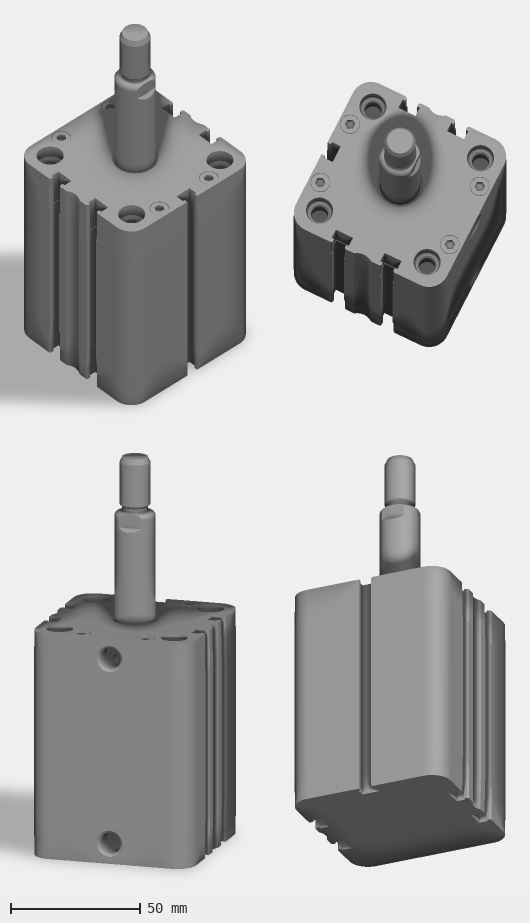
import cadquery as cq
import math

side = 65.5
half_side = side / 2
corner_radius = 7.85
body_height = 90.0
rod_projection = 65.0
cap_height = 14.5
draft_angle = 0.5
cap_draft = cap_height * math.tan(math.radians(draft_angle))
barrel_height = body_height - 2 * cap_height
upper_seam = body_height - cap_height
rod_top = body_height + rod_projection

slot_offset = 10.5
slot_mouth = 5.2
slot_lip = 1.85
slot_width = 6.6
slot_depth = 5.1
cap_slot_clearance = 0.4
slot_edge_chamfer = 0.5

sensor_mouth = 5.2
sensor_width = 7.0
sensor_lip = 1.6
sensor_depth = 5.4

groove_radius = 6.0
groove_depth = 1.2

port_to_end = 8.0
port_diameter = 8.57
port_mouth_diameter = 10.5
port_chamfer = (port_mouth_diameter - port_diameter) / 2
port_depth = 10.0

port_floor_radius = 20.0
port_floor_sag = 1.0
cushion_diameter = 3.5
cushion_drop = 2.2
cushion_depth = 4.0

mount_offset = 23.25
mount_bore_diameter = 10.5
mount_bore_depth = 5.0
mount_lead_diameter = 8.0
mount_hole_diameter = 6.65
mount_lead_depth = (mount_lead_diameter - mount_hole_diameter) / 2
mount_hole_depth = 12.0

screw_x = 28.0
screw_y = 13.0
screw_seat_diameter = 7.7
screw_head_diameter = 7.5
screw_head_chamfer = 0.25
screw_gap_depth = 0.5
socket_flats = 3.5
socket_depth = 2.0

rod_diameter = 16.0
thread_diameter = 12.0
thread_lead_diameter = 10.0
thread_lead_length = 2.2
relief_diameter = 10.0
relief_length = 1.75
relief_chamfer = (thread_diameter - relief_diameter) / 2
relief_foot = 0.2
shoulder_z = rod_top - 21.7
shoulder_fillet = 2.0
flats_width = 13.0
flats_length = 5.5
flats_step = (rod_diameter - flats_width) / 2

wiper_rim_diameter = 18.0
wiper_diameter = 17.7
wiper_rim_chamfer = (wiper_rim_diameter - wiper_diameter) / 2
wiper_floor_diameter = 16.54
wiper_depth = 0.6


def corner_points(x, y):
    return [(sign_x * x, sign_y * y) for sign_x in (-1, 1) for sign_y in (-1, 1)]


def square_block(height, taper=0.0):
    outline = cq.Sketch().rect(side, side).vertices().fillet(corner_radius)
    return cq.Workplane().placeSketch(outline).extrude(height, taper=taper)


def tee_slot(mouth, width, lip, depth, height):
    """Tee slot prism that opens at Y = 0 and goes in toward +Y."""
    neck = cq.Workplane().rect(mouth, 2 * lip).extrude(height)
    undercut = cq.Workplane().center(0, (lip + depth) / 2).rect(width, depth - lip).extrude(height)
    return neck.union(undercut)


def face_slots(height, clearance=0.0, taper=0.0):
    """All the slots and grooves that run along Z in the side faces."""
    slot = tee_slot(slot_mouth, slot_width + 2 * clearance, slot_lip, slot_depth + clearance, height)
    groove = cq.Workplane().center(0, groove_depth - groove_radius).circle(groove_radius)
    front = groove.extrude(height, taper=-taper)
    for x in (-slot_offset, slot_offset):
        front = front.union(slot.translate((x, 0, 0)))
    front = front.translate((0, -half_side, 0))
    sensor = tee_slot(sensor_mouth, sensor_width, sensor_lip, sensor_depth, height)
    sensor = sensor.translate((0, -half_side, 0)).rotate((0, 0, 0), (0, 0, 1), 90)
    return front.union(front.mirror("XZ")).union(sensor)


def plain_cap():
    """Cap that grows upward from the seam at Z = 0, drafted, with bevelled tee slot edges."""
    cap = square_block(cap_height, draft_angle)
    cap = cap.cut(face_slots(cap_height, cap_slot_clearance, draft_angle))
    edge_y = half_side - cap_draft / 2
    mouth_edges = []
    for edge_x in (slot_offset - slot_mouth / 2, slot_offset + slot_mouth / 2):
        for x, y in corner_points(edge_x, edge_y):
            nearest = cq.NearestToPointSelector((x, y, cap_height / 2))
            mouth_edges += cap.edges(nearest).vals()
    return cap.newObject(mouth_edges).chamfer(slot_edge_chamfer)


def port(height):
    """Air port with a chamfered mouth that enters the -X face at the given height."""
    face = cq.Workplane("YZ", origin=(-half_side, 0, height))
    bore = face.circle(port_diameter / 2).extrude(port_depth)
    mouth = face.circle(port_mouth_diameter / 2).extrude(port_chamfer + cap_draft, taper=45)
    return bore.union(mouth)


def hollow_floor(height):
    """Port-wide pocket beyond the port's end, closed by a cylinder lying along Y."""
    axis_x = -half_side + port_depth + port_floor_sag - port_floor_radius
    floor = cq.Workplane("XZ", origin=(axis_x, 0, height)).circle(port_floor_radius)
    floor = floor.extrude(port_diameter / 2, both=True)
    reach = cq.Workplane("YZ", origin=(-half_side, 0, height)).circle(port_diameter / 2)
    return reach.extrude(2 * port_depth).intersect(floor)


def mount_holes():
    """Counterbored blind holes with a tapered lead-in, one in each corner of the upper cap."""
    points = corner_points(mount_offset, mount_offset)
    top = cq.Workplane(origin=(0, 0, body_height)).pushPoints(points)
    shelf = cq.Workplane(origin=(0, 0, body_height - mount_bore_depth)).pushPoints(points)
    bores = top.circle(mount_bore_diameter / 2).extrude(-mount_bore_depth)
    holes = top.circle(mount_hole_diameter / 2).extrude(-mount_hole_depth)
    leads = shelf.circle(mount_lead_diameter / 2).extrude(-mount_lead_depth, taper=45)
    return bores.union(holes).union(leads)


def screw_recess():
    """Gap around one chamfered screw head plus its hexagon socket, with the cap's top at Z = 0."""
    floor = cq.Workplane(origin=(0, 0, -screw_gap_depth))
    head = floor.circle(screw_head_diameter / 2).extrude(screw_gap_depth)
    head = head.faces(">Z").chamfer(screw_head_chamfer)
    gap = floor.circle(screw_seat_diameter / 2).extrude(screw_gap_depth).cut(head)
    hexagon = cq.Sketch().regularPolygon(socket_flats / math.sqrt(3), 6)
    socket = cq.Workplane().placeSketch(hexagon).extrude(-socket_depth)
    return gap.union(socket)


def rod_passage():
    """Rod bore through the upper cap with its conical recess and bevelled rim."""
    profile = [
        (0, upper_seam),
        (rod_diameter / 2, upper_seam),
        (rod_diameter / 2, body_height - wiper_depth),
        (wiper_floor_diameter / 2, body_height - wiper_depth),
        (wiper_diameter / 2, body_height - wiper_rim_chamfer),
        (wiper_rim_diameter / 2, body_height),
        (0, body_height),
    ]
    return cq.Workplane("XZ").polyline(profile).close().revolve()


def make_barrel():
    barrel = square_block(barrel_height).cut(face_slots(barrel_height))
    return barrel.translate((0, 0, cap_height))


def make_lower_cap():
    cap = plain_cap().mirror("XY").translate((0, 0, cap_height))
    return cap.cut(port(port_to_end)).cut(hollow_floor(port_to_end))


def make_upper_cap():
    port_z = body_height - port_to_end
    port_end = cq.Workplane("YZ", origin=(-half_side + port_depth, 0, port_z - cushion_drop))
    cushion = port_end.circle(cushion_diameter / 2).extrude(cushion_depth)
    cap = plain_cap().translate((0, 0, upper_seam))
    cap = cap.cut(port(port_z)).cut(cushion).cut(mount_holes()).cut(rod_passage())
    for x, y in corner_points(screw_x, screw_y):
        cap = cap.cut(screw_recess().translate((x, y, body_height)))
    return cap


def make_rod():
    """Rod seated on the barrel, with a rounded shoulder, thread relief, thread and two wrench flats."""
    rod_radius = rod_diameter / 2
    thread_radius = thread_diameter / 2
    relief_radius = relief_diameter / 2
    relief_top = shoulder_z + relief_length
    rod = (
        cq.Workplane("XZ")
        .moveTo(0, upper_seam)
        .lineTo(rod_radius, upper_seam)
        .lineTo(rod_radius, shoulder_z - shoulder_fillet)
        .radiusArc((rod_radius - shoulder_fillet, shoulder_z), -shoulder_fillet)
        .lineTo(relief_radius + relief_foot, shoulder_z)
        .lineTo(relief_radius, shoulder_z + relief_foot)
        .lineTo(relief_radius, relief_top)
        .lineTo(thread_radius, relief_top + relief_chamfer)
        .lineTo(thread_radius, rod_top - thread_lead_length)
        .lineTo(thread_lead_diameter / 2, rod_top)
        .lineTo(0, rod_top)
        .close()
        .revolve()
    )
    flat = (
        cq.Workplane("XZ")
        .moveTo(flats_width / 2, shoulder_z)
        .lineTo(flats_width / 2, shoulder_z - flats_length)
        .lineTo(rod_radius, shoulder_z - flats_length - flats_step)
        .lineTo(rod_radius, shoulder_z)
        .close()
        .extrude(rod_radius, both=True)
    )
    return rod.cut(flat).cut(flat.mirror("YZ"))


lower_cap = make_lower_cap()
barrel = make_barrel()
upper_cap = make_upper_cap()
piston_rod = make_rod()

bodies = [lower_cap, barrel, upper_cap, piston_rod]
result = cq.Compound.makeCompound([body.solids().val() for body in bodies])